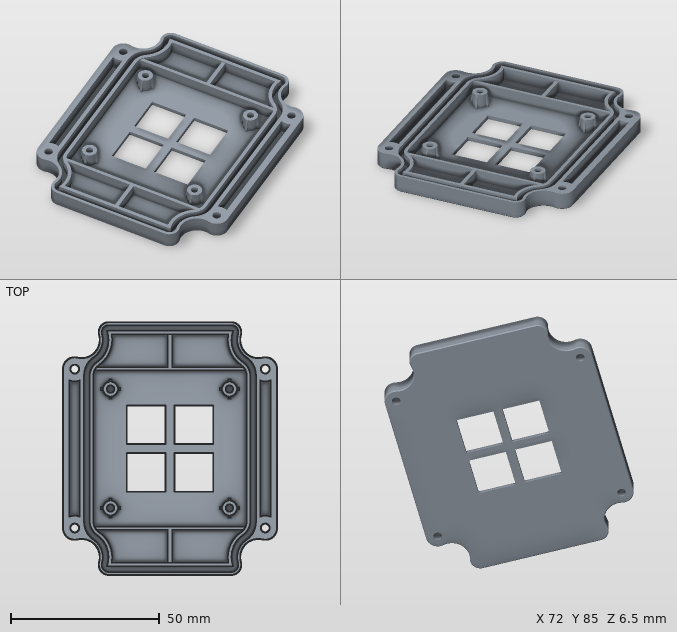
import cadquery as cq
import math

width = 72.0
length = 85.0
body_height = 6.0
boss_height = 6.5
floor_thickness = 1.45
bottom_chamfer = 0.3

ear_radius = 4.0
ear_x = width / 2 - ear_radius
ear_y = 26.7
horn_radius = 3.5
horn_x = 20.5
horn_y = length / 2 - horn_radius
notch_radius = 6.0
ear_hole_diameter = 2.9

groove_inset = 1.0
wall_inset = 3.0
cavity_inset = 4.2
rim_side_x = 29.9
rim_side_radius = 8.5
groove_depth = 4.0

rib_height = 5.7
cross_rib_width = 1.1
cross_rib_y = 26.8
centre_rib_width = 1.4

slot_width = 3.6
slot_x = 32.05
slot_end_clearance = 4.2

window_size = 12.9
window_pitch = 16.0

boss_spacing = 39.95
boss_diameter = 5.0
boss_hole_diameter = 2.5
fin_width = 0.85
fin_base_reach = 3.2
fin_top_reach = 2.55
fin_foot_height = 0.9


def touching_circle_centre(first, first_distance, second, second_distance):
    """Point at given distances from two centres, on the right when going from first to second."""
    span_x = second[0] - first[0]
    span_y = second[1] - first[1]
    span = math.hypot(span_x, span_y)
    along = (span**2 + first_distance**2 - second_distance**2) / (2 * span)
    across = math.sqrt(first_distance**2 - along**2)
    return (
        first[0] + (along * span_x + across * span_y) / span,
        first[1] + (along * span_y - across * span_x) / span,
    )


ear_centre = (ear_x, ear_y)
horn_centre = (horn_x, horn_y)
notch_centre = touching_circle_centre(
    ear_centre, ear_radius + notch_radius, horn_centre, horn_radius + notch_radius
)

bend_x = rim_side_x - rim_side_radius
bend_rise = math.sqrt((rim_side_radius + notch_radius) ** 2 - (notch_centre[0] - bend_x) ** 2)
bend_centre = (bend_x, notch_centre[1] - bend_rise)


def notch_point(toward, radius):
    """Point on the notch circle of the given radius, in the direction of another centre."""
    dx = toward[0] - notch_centre[0]
    dy = toward[1] - notch_centre[1]
    distance = math.hypot(dx, dy)
    return (notch_centre[0] + radius * dx / distance, notch_centre[1] + radius * dy / distance)


def mirror_to_four(quarter):
    """Whole solid from its +X +Y quarter."""
    half = quarter.union(quarter.mirror("YZ"))
    return half.union(half.mirror("XZ")).clean()


def outline_block(height):
    """Solid of the outer outline, standing on Z = 0."""
    quarter = (
        cq.Workplane("XY")
        .lineTo(width / 2, 0)
        .lineTo(width / 2, ear_y)
        .radiusArc(notch_point(ear_centre, notch_radius), -ear_radius)
        .radiusArc(notch_point(horn_centre, notch_radius), notch_radius)
        .radiusArc((horn_x, length / 2), -horn_radius)
        .lineTo(0, length / 2)
        .close()
        .extrude(height)
    )
    return mirror_to_four(quarter)


def rim_block(inset, bottom, top, rounded_horns=False):
    """Solid of the rim outline, moved inward by inset, between two heights."""
    side_x = rim_side_x - inset
    end_y = length / 2 - inset
    notch_curve = notch_radius + inset
    path = (
        cq.Workplane("XY")
        .workplane(offset=bottom)
        .lineTo(side_x, 0)
        .lineTo(side_x, bend_centre[1])
        .radiusArc(notch_point(bend_centre, notch_curve), -(rim_side_radius - inset))
    )
    if rounded_horns:
        path = path.radiusArc(notch_point(horn_centre, notch_curve), notch_curve)
        path = path.radiusArc((horn_x, end_y), -(horn_radius - inset))
    else:
        reach = math.sqrt(notch_curve**2 - (end_y - notch_centre[1]) ** 2)
        path = path.radiusArc((notch_centre[0] - reach, end_y), notch_curve)
    quarter = path.lineTo(0, end_y).close().extrude(top - bottom)
    return mirror_to_four(quarter)


def gasket_groove():
    bottom = body_height - groove_depth
    outer = rim_block(groove_inset, bottom, body_height, rounded_horns=True)
    return outer.cut(rim_block(wall_inset, bottom, body_height))


def cavity():
    """Inside of the rim wall, less the ribs that cross it."""
    space = rim_block(cavity_inset, floor_thickness, body_height)
    rib_rise = rib_height - floor_thickness
    ribs = (
        cq.Workplane("XY", origin=(0, 0, floor_thickness))
        .pushPoints([(0, -cross_rib_y), (0, cross_rib_y)])
        .rect(width, cross_rib_width)
        .extrude(rib_rise)
    )
    centre_rib_length = length / 2 - cross_rib_y
    centre_rib_y = cross_rib_y + centre_rib_length / 2
    centre_ribs = (
        cq.Workplane("XY", origin=(0, 0, floor_thickness))
        .pushPoints([(0, -centre_rib_y), (0, centre_rib_y)])
        .rect(centre_rib_width, centre_rib_length)
        .extrude(rib_rise)
    )
    return space.cut(ribs).cut(centre_ribs)


def side_slots():
    """Slots beside the rim, with ends curved around the ear holes."""
    slots = (
        cq.Workplane("XY", origin=(0, 0, floor_thickness))
        .pushPoints([(-slot_x, 0), (slot_x, 0)])
        .rect(slot_width, 2 * ear_y)
        .extrude(body_height - floor_thickness)
    )
    hole_surrounds = (
        cq.Workplane("XY")
        .rect(2 * ear_x, 2 * ear_y, forConstruction=True)
        .vertices()
        .circle(slot_end_clearance)
        .extrude(body_height)
    )
    return slots.cut(hole_surrounds)


def ear_holes():
    return (
        cq.Workplane("XY")
        .rect(2 * ear_x, 2 * ear_y, forConstruction=True)
        .vertices()
        .circle(ear_hole_diameter / 2)
        .extrude(body_height)
    )


def windows():
    return (
        cq.Workplane("XY")
        .rarray(window_pitch, window_pitch, 2, 2)
        .rect(window_size, window_size)
        .extrude(floor_thickness)
    )


def screw_boss():
    """Boss rooted in the floor at the origin, with a blind hole and two crossed pairs of fins."""
    boss = cq.Workplane("XY").circle(boss_diameter / 2).extrude(boss_height)
    fin_pair = (
        cq.Workplane("XZ")
        .moveTo(-fin_base_reach, 0)
        .lineTo(fin_base_reach, 0)
        .lineTo(fin_base_reach, floor_thickness + fin_foot_height)
        .lineTo(fin_top_reach, boss_height)
        .lineTo(-fin_top_reach, boss_height)
        .lineTo(-fin_base_reach, floor_thickness + fin_foot_height)
        .close()
        .extrude(fin_width / 2, both=True)
    )
    boss = boss.union(fin_pair).union(fin_pair.rotate((0, 0, 0), (0, 0, 1), 90))
    hole = (
        cq.Workplane("XY", origin=(0, 0, floor_thickness))
        .circle(boss_hole_diameter / 2)
        .extrude(boss_height - floor_thickness)
    )
    return boss.cut(hole)


body = outline_block(body_height).faces("<Z").edges().chamfer(bottom_chamfer)
body = body.cut(gasket_groove()).cut(cavity()).cut(side_slots()).cut(ear_holes()).cut(windows())

for boss_x in (-boss_spacing / 2, boss_spacing / 2):
    for boss_y in (-boss_spacing / 2, boss_spacing / 2):
        body = body.union(screw_boss().translate((boss_x, boss_y, 0)))

result = body